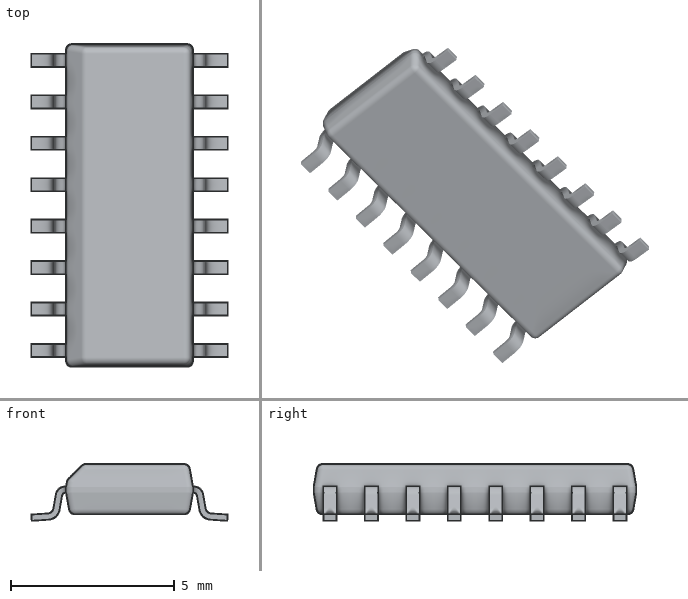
import cadquery as cq
import math

body_width = 3.9
body_length = 9.9
body_bottom = 0.2
body_top = 1.75
band_height = 0.165
band_middle = 0.96
draft_angle = 10.0
edge_radius = 0.2
bevel_start = 1.25

leads_per_side = 8
lead_pitch = 1.27
lead_width = 0.41
lead_thickness = 0.2
lead_top = 1.06
lead_span = 6.03
leg_angle = 10.0
foot_tilt = 4.0
shoulder_radius = 0.3
ankle_radius = 0.17
shoulder_gap = 0.015
shoulder_start = body_width / 2 + shoulder_gap
lead_embed = 0.5

band_bottom = band_middle - band_height / 2
band_top = band_middle + band_height / 2


def make_body():
    """Drafted body with a bevel along the -X top edge and rounded edges."""
    band = cq.Workplane("XY", origin=(0, 0, band_bottom)).rect(body_width, body_length)
    band = band.extrude(band_height)
    upper = cq.Workplane("XY", origin=(0, 0, band_top)).rect(body_width, body_length)
    upper = upper.extrude(body_top - band_top, taper=draft_angle)
    lower = cq.Workplane("XY", origin=(0, 0, band_bottom)).rect(body_width, body_length)
    lower = lower.extrude(-(band_bottom - body_bottom), taper=draft_angle)
    body = band.union(upper).union(lower).cut(make_bevel_cutter())

    rounded = body.edges().filter(lambda edge: not is_crease(edge))
    return rounded.fillet(edge_radius)


def is_crease(edge):
    """True for a horizontal edge at the top or bottom of the parting band."""
    tolerance = 1e-4
    box = edge.BoundingBox()
    flat = box.zmax - box.zmin < tolerance
    middle = (box.zmin + box.zmax) / 2
    at_band = min(abs(middle - band_top), abs(middle - band_bottom)) < tolerance
    return flat and at_band


def make_bevel_cutter():
    """Triangular prism that removes the -X top corner at 45 degrees."""
    side_x = -body_width / 2 + (bevel_start - band_top) * math.tan(math.radians(draft_angle))
    size = 2 * (body_top - bevel_start)
    cutter = cq.Workplane("XZ").moveTo(side_x - size, bevel_start - size)
    cutter = cutter.lineTo(side_x + size, bevel_start + size)
    cutter = cutter.lineTo(side_x - size, bevel_start + size).close()
    return cutter.extrude(body_length, both=True)


def make_lead():
    """One +X lead centred on Y = 0: embedded root, shoulder, leg, ankle and foot."""
    leg = math.radians(leg_angle)
    tilt = math.radians(foot_tilt)
    leg_direction = cq.Vector(math.sin(leg), -math.cos(leg))
    leg_normal = cq.Vector(math.cos(leg), math.sin(leg))
    foot_normal = cq.Vector(math.sin(tilt), math.cos(tilt))
    shoulder_middle = (leg_normal + cq.Vector(0, 1)).normalized()
    ankle_middle = (leg_normal + foot_normal).normalized()

    shoulder_center = cq.Vector(shoulder_start, lead_top - shoulder_radius)
    toe_top = cq.Vector(lead_span / 2, lead_thickness * math.cos(tilt))
    bends = leg_normal * (shoulder_radius + ankle_radius) - foot_normal * ankle_radius
    reach = toe_top - shoulder_center - bends
    leg_length = reach.dot(foot_normal) / leg_direction.dot(foot_normal)
    ankle_center = (
        shoulder_center + leg_normal * (shoulder_radius + ankle_radius) + leg_direction * leg_length
    )
    toe_bottom = toe_top - foot_normal * lead_thickness

    inner_shoulder = shoulder_radius - lead_thickness
    outer_ankle = ankle_radius + lead_thickness
    root_x = body_width / 2 - lead_embed

    def on_shoulder(direction, radius):
        return (shoulder_center + direction * radius).toTuple()[:2]

    def on_ankle(direction, radius):
        return (ankle_center - direction * radius).toTuple()[:2]

    profile = cq.Workplane("XZ", origin=(0, lead_width / 2, 0)).moveTo(root_x, lead_top)
    profile = profile.lineTo(shoulder_start, lead_top)
    profile = profile.threePointArc(
        on_shoulder(shoulder_middle, shoulder_radius), on_shoulder(leg_normal, shoulder_radius)
    )
    profile = profile.lineTo(*on_ankle(leg_normal, ankle_radius))
    profile = profile.threePointArc(
        on_ankle(ankle_middle, ankle_radius), on_ankle(foot_normal, ankle_radius)
    )
    profile = profile.lineTo(toe_top.x, toe_top.y).lineTo(toe_bottom.x, toe_bottom.y)
    profile = profile.lineTo(*on_ankle(foot_normal, outer_ankle))
    profile = profile.threePointArc(
        on_ankle(ankle_middle, outer_ankle), on_ankle(leg_normal, outer_ankle)
    )
    profile = profile.lineTo(*on_shoulder(leg_normal, inner_shoulder))
    profile = profile.threePointArc(
        on_shoulder(shoulder_middle, inner_shoulder), (shoulder_start, lead_top - lead_thickness)
    )
    profile = profile.lineTo(root_x, lead_top - lead_thickness).close()
    return profile.extrude(lead_width)


right_lead = make_lead()
left_lead = right_lead.mirror("YZ")
first_lead_y = -lead_pitch * (leads_per_side - 1) / 2

result = make_body()
for index in range(leads_per_side):
    lead_y = first_lead_y + index * lead_pitch
    for lead in (right_lead, left_lead):
        result = result.union(lead.translate((0, lead_y, 0)))